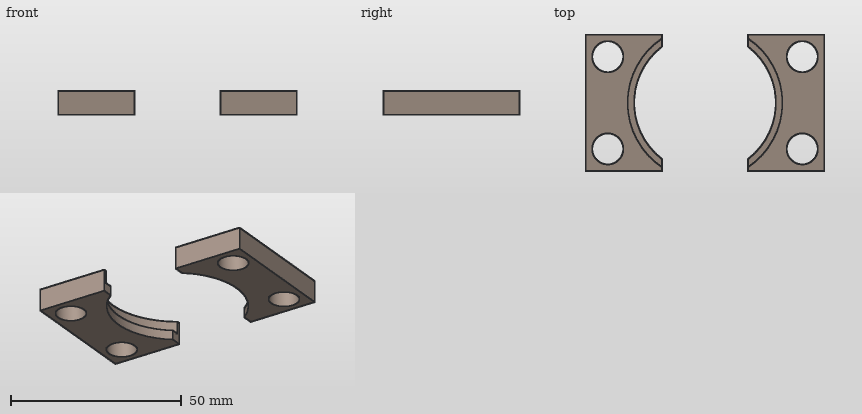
import cadquery as cq

overall_length = 70.0
plate_depth = 40.0
plate_thickness = 7.0
plate_width = 22.5

recess_radius = 22.7
bore_radius = 20.7
lip_thickness = 3.0

hole_diameter = 9.0
hole_edge_distance = 6.5
hole_spacing = 27.0

plate_center_x = (overall_length - plate_width) / 2
hole_x = overall_length / 2 - hole_edge_distance


def make_clamp_plate(side):
    """Build one plate; side is -1 for the -X plate and +1 for the +X plate."""
    plate = (
        cq.Workplane("XY")
        .center(side * plate_center_x, 0)
        .rect(plate_width, plate_depth)
        .extrude(plate_thickness)
    )

    bore = cq.Workplane("XY").circle(bore_radius).extrude(plate_thickness)
    recess = (
        cq.Workplane("XY")
        .workplane(offset=lip_thickness)
        .circle(recess_radius)
        .extrude(plate_thickness - lip_thickness)
    )

    bolt_holes = (
        cq.Workplane("XY")
        .pushPoints([(side * hole_x, end * hole_spacing / 2) for end in (-1, 1)])
        .circle(hole_diameter / 2)
        .extrude(plate_thickness)
    )
    return plate.cut(bore).cut(recess).cut(bolt_holes)


clamp_plates = [make_clamp_plate(side) for side in (-1, 1)]
result = cq.Compound.makeCompound([plate.val() for plate in clamp_plates])